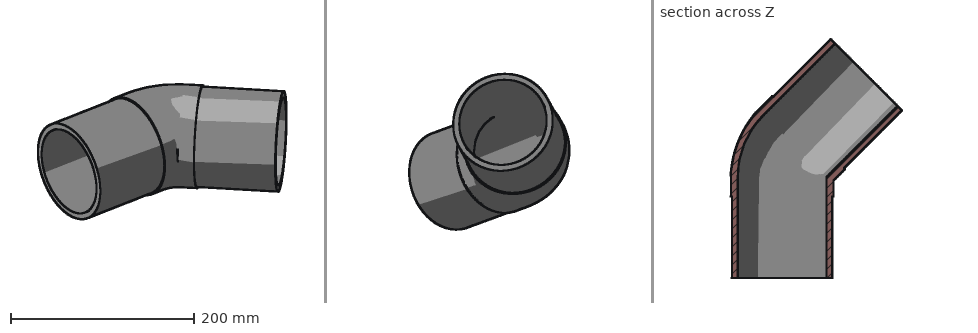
import math

import cadquery as cq

bend_angle = 45
pipe_diameter = 110.0
bend_diameter = 112.7
bore_diameter = 96.5
collar_length = 17.7
leg_length = 106.7


def bend_radius(diameter):
    """Centerline radius at which the inside of the bend shrinks to a point."""
    return diameter / 2


def bend_start(diameter):
    """Distance from the centerline crossing to the start of the bend."""
    return bend_radius(diameter) * math.tan(math.radians(bend_angle / 2))


collar_end = bend_start(bend_diameter) + collar_length
pipe_end = bend_start(bend_diameter) + leg_length


def section(diameter, distance):
    """Round section across the first leg, facing its open end."""
    plane = cq.Plane(origin=(0, -distance, 0), xDir=(1, 0, 0), normal=(0, -1, 0))
    return cq.Workplane(plane).circle(diameter / 2)


def straight(diameter, start, end):
    """Cylinder along the first leg between two distances from the crossing."""
    return section(diameter, start).extrude(end - start)


def bend(diameter):
    """Round bar turned through the bend angle, tangent to both centerlines."""
    radius = bend_radius(diameter)
    return section(diameter, bend_start(diameter)).revolve(
        bend_angle, (radius, 0, 0), (radius, -1, 0)
    )


def second_leg(first_leg):
    """Matching leg on the far end of the bend."""
    return first_leg.mirror("XZ").rotate((0, 0, 0), (0, 0, 1), -bend_angle)


pipe = straight(pipe_diameter, bend_start(bend_diameter), pipe_end)
collar = straight(bend_diameter, bend_start(bend_diameter), collar_end)
leg = pipe.union(collar)
outside = bend(bend_diameter).union(leg).union(second_leg(leg))

leg_bore = straight(bore_diameter, bend_start(bore_diameter), pipe_end)
bore = bend(bore_diameter).union(leg_bore).union(second_leg(leg_bore))

result = outside.cut(bore)